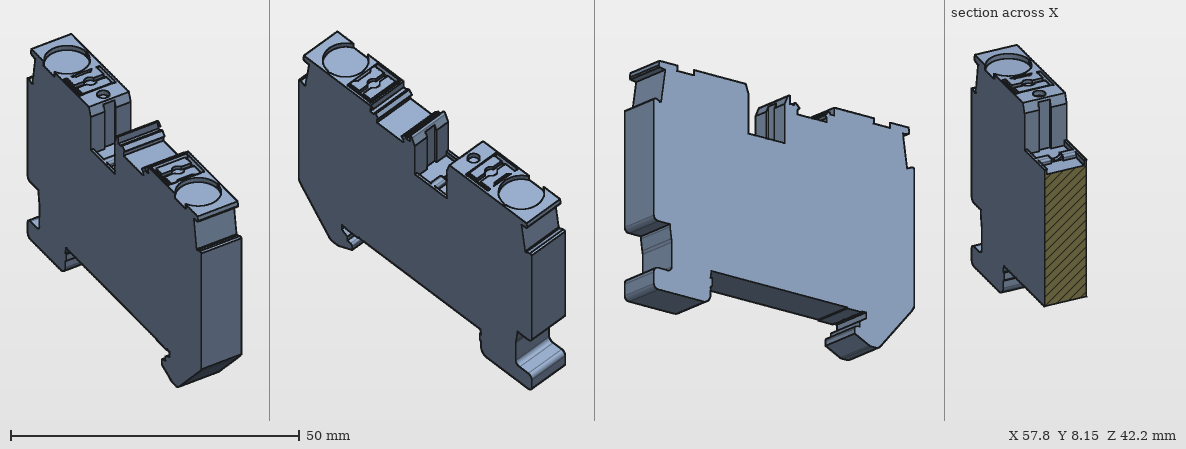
import cadquery as cq
import math


length = 57.8
thickness = 8.15
height = 42.2
middle_x = length / 2

lip_x = 1.1
lip_top_x = 1.3
lip_edge_z = 41.3
lip_bottom_z = 41.0
neck_top_x = 2.55
neck_top_z = 40.8
neck_bottom_x = 1.6
neck_bottom_z = 34.75
shoulder_groove_x = 1.45
shoulder_groove_z = 34.6
shoulder_ridge_x = 0.45
shoulder_z = 35.1
shoulder_outer_z = 34.9

body_bottom_z = 12.6
corner_radius = 0.9
waist_top_x = 3.6
waist_slope_z = 12.2
waist_bend_x = 3.9
waist_bend_z = 10.05
waist_x = 4.0
waist_z = 9.4
toe_top_z = 4.0
heel_x = 12.6
heel_radius = 1.6
catch_x = 12.95
catch_bottom_z = 2.95
catch_top_z = 4.75
catch_bevel = 0.35

seat_x = 12.8
seat_z = 6.0
pad_left_x = 42.95
pad_right_x = 46.2
pad_height = 0.2
hook_root_x = 47.1
hook_root_z = 4.9
hook_step_x = 45.7
hook_step_top_z = 4.1
hook_step_bottom_z = 3.1
hook_tip_x = 44.55
hook_tip_top_z = 2.95
hook_tip_bottom_z = 1.55
hook_tip_radius = 0.5
hook_bottom_left_x = 48.0
hook_bottom_right_x = 49.9
hook_bottom_radius = 1.15
hook_slope_x = 57.15
hook_slope_z = 8.45
right_wall_z = 9.35

notch_left_x = 21.05
notch_right_x = 29.0
notch_z = 33.2
notch_bevel_left_x = 20.4
notch_bevel_z = 40.4
notch_middle_x = (notch_left_x + notch_right_x) / 2

marker_middle_x = 35.15
marker_half_width = 4.9
marker_ledge_z = 40.7
bead_outer_half = 4.05
bead_crest_outer_half = 3.9
bead_crest_inner_half = 3.6
bead_z = 41.1
jaw_half = 2.85
jaw_top_z = 40.35
jaw_bottom_z = 39.9
marker_floor_half = 3.25
marker_floor_z = 39.15
tower_tip_x = 29.8
tower_tip_radius = 0.4
tower_right_x = marker_middle_x - marker_half_width

barb_depth = 0.2
barb_reach = 0.7
barb_drop = 0.6
barb_height = 0.3

screw_x = 7.1
screw_y = 3.7
screw_diameter = 8.0
window_width = 3.6
groove_width = 0.5
groove_height = 0.7
groove_depth = 0.1
recess_depth = 1.0
hole_diameter = 2.2
test_hole_x = 18.65
middle_y = 4.0

button_outer_x = 11.5
button_inner_x = 16.7
button_front_y = 1.0
button_rear_y = 7.0
moat_front_y = 0.35
moat_rear_y = 7.65
moat_depth = 0.6
moat_floor_width = 0.2
moat_end_width = 0.2
sloped_end_width = 0.65
button_hole_x = 14.35
button_slot_width = 0.9
button_slot_depth = 0.7
right_button_drop = 0.1
ramp_length = 0.5
ramp_depth = 0.6
ramp_wide = 4.15
ramp_narrow = 2.9

bridge_front_y = 0.5
bridge_rear_y = 7.65
bridge_depth = 1.0
bridge_z = notch_z - bridge_depth
web_width = 0.8
post_rounding = 0.4
channel_width = 2.25
channel_depth = 0.45
valley_depth = 0.8


def mirrored(points, about_x):
    """The points reflected across a vertical line, in reverse order."""
    return [(2 * about_x - point[0], *point[1:]) for point in reversed(points)]


def closed_outline(workplane, points):
    """Closed wire through points (x, z) or (x, z, radius), rounding the corners that have a radius."""
    first = points[0]
    wire = workplane.moveTo(first[0], first[1])
    for index in range(1, len(points)):
        corner = points[index]
        if len(corner) == 2:
            wire = wire.lineTo(*corner)
            continue
        x, z, radius = corner
        before = points[index - 1]
        after = points[(index + 1) % len(points)]
        angle_in = math.atan2(before[1] - z, before[0] - x)
        angle_out = math.atan2(after[1] - z, after[0] - x)
        half_turn = math.remainder(angle_out - angle_in, 2 * math.pi) / 2
        half_angle = abs(half_turn)
        bisector = angle_in + half_turn
        tangent = radius / math.tan(half_angle)
        arc_middle = radius / math.sin(half_angle) - radius
        wire = wire.lineTo(x + tangent * math.cos(angle_in), z + tangent * math.sin(angle_in))
        wire = wire.threePointArc(
            (x + arc_middle * math.cos(bisector), z + arc_middle * math.sin(bisector)),
            (x + tangent * math.cos(angle_out), z + tangent * math.sin(angle_out)),
        )
    return wire.close()


def plate(points, front_y, rear_y):
    """An X-Z outline extruded from front_y back to rear_y."""
    workplane = cq.Workplane("XZ", origin=(0, front_y, 0))
    return closed_outline(workplane, points).extrude(front_y - rear_y)


def block(x_range, y_range, z_range):
    """A box given by its lower and upper limit along each axis."""
    low, high = zip(x_range, y_range, z_range)
    size = [upper - lower for lower, upper in zip(low, high)]
    return cq.Workplane("XY").box(*size, centered=False).translate(low)


def round_recess(x, y, diameter, depth, top_z):
    return cq.Workplane("XY", origin=(x, y, top_z)).circle(diameter / 2).extrude(-depth)


def body():
    end_wall = [
        (0, shoulder_outer_z),
        (shoulder_ridge_x, shoulder_z),
        (shoulder_groove_x, shoulder_groove_z),
        (neck_bottom_x, neck_bottom_z),
        (neck_top_x, neck_top_z),
        (lip_top_x, lip_bottom_z),
        (lip_x, lip_edge_z),
        (lip_top_x, height),
    ]
    notch = [
        (notch_bevel_left_x, height),
        (notch_left_x, notch_bevel_z),
        (notch_left_x, notch_z),
        (notch_right_x, notch_z),
        (notch_right_x, notch_bevel_z),
    ]
    tower_tip = [
        (tower_tip_x, height, tower_tip_radius),
        (tower_right_x, height),
    ]
    marker_left = [
        (tower_right_x, marker_ledge_z),
        (marker_middle_x - bead_outer_half, marker_ledge_z),
        (marker_middle_x - bead_crest_outer_half, bead_z),
        (marker_middle_x - bead_crest_inner_half, bead_z),
        (marker_middle_x - jaw_half, jaw_top_z),
        (marker_middle_x - marker_floor_half, jaw_bottom_z),
        (marker_middle_x - marker_floor_half, marker_floor_z),
    ]
    marker_seat = marker_left + mirrored(marker_left, marker_middle_x)
    marker_end = [(marker_middle_x + marker_half_width, height)]
    hook = [
        (length, right_wall_z),
        (hook_slope_x, hook_slope_z),
        (hook_bottom_right_x, 0, hook_bottom_radius),
        (hook_bottom_left_x, 0, hook_bottom_radius),
        (hook_tip_x, hook_tip_bottom_z),
        (hook_tip_x, hook_tip_top_z, hook_tip_radius),
        (hook_step_x, hook_step_bottom_z),
        (hook_step_x, hook_step_top_z),
        (hook_root_x, hook_root_z),
        (hook_root_x, seat_z),
    ]
    rail_seat = [
        (pad_right_x, seat_z),
        (pad_right_x, seat_z - pad_height),
        (pad_left_x, seat_z - pad_height),
        (pad_left_x, seat_z),
        (seat_x, seat_z),
    ]
    foot = [
        (heel_x, catch_top_z + catch_bevel),
        (heel_x, catch_top_z),
        (catch_x, catch_top_z),
        (catch_x, catch_bottom_z + catch_bevel),
        (heel_x, catch_bottom_z),
        (heel_x, 0, heel_radius),
        (0, 0, corner_radius),
        (0, toe_top_z, corner_radius),
        (waist_x, toe_top_z, corner_radius),
        (waist_x, waist_z),
        (waist_bend_x, waist_bend_z),
        (waist_top_x, waist_slope_z),
        (waist_top_x, body_bottom_z),
        (0, body_bottom_z, corner_radius),
    ]
    top = end_wall + notch + tower_tip + marker_seat + marker_end
    points = top + mirrored(end_wall, middle_x) + hook + rail_seat + foot
    return plate(points, 0, thickness)


def rear_barbs():
    left = [
        (tower_right_x, height),
        (tower_right_x + barb_reach, height - barb_drop),
        (tower_right_x, height - barb_drop - barb_height),
    ]
    front_y = thickness - barb_depth
    barbs = plate(left, front_y, thickness)
    return barbs.union(plate(mirrored(left, marker_middle_x), front_y, thickness))


def screw_recess(x):
    """Round recess that opens through the front side, with a shallow groove in its rear wall."""
    window_x = (x - window_width / 2, x + window_width / 2)
    groove_x = (x - groove_width / 2, x + groove_width / 2)
    rear_y = screw_y + screw_diameter / 2
    window = block(window_x, (0, screw_y), (height - recess_depth, height))
    groove = block(groove_x, (screw_y, rear_y + groove_depth), (height - groove_height, height))
    recess = round_recess(x, screw_y, screw_diameter, recess_depth, height)
    return recess.union(window).union(groove)


def moat_strip(outer_y, button_y, floor_z):
    """Moat along one long side of a left button, its outer wall sloping down to a narrow floor."""
    toward_button = math.copysign(1, button_y - outer_y)
    floor_y = button_y - toward_button * moat_floor_width
    section = [(outer_y, height), (floor_y, floor_z), (button_y, floor_z), (button_y, height)]
    workplane = cq.Workplane("YZ", origin=(button_outer_x, 0, 0))
    return workplane.polyline(section).close().extrude(button_inner_x + moat_end_width - button_outer_x)


def ramp_prism(bottom_z):
    """Trapezoidal prism over the ramp at the outer end of a left button, up to the top face."""
    inner_x = button_outer_x + ramp_length
    footprint = [
        (button_outer_x, middle_y - ramp_wide / 2),
        (inner_x, middle_y - ramp_narrow / 2),
        (inner_x, middle_y + ramp_narrow / 2),
        (button_outer_x, middle_y + ramp_wide / 2),
    ]
    workplane = cq.Workplane("XY", origin=(0, 0, bottom_z))
    return workplane.polyline(footprint).close().extrude(height - bottom_z)


def button_cut(drop):
    """Everything removed around and in a left button whose top lies `drop` below the top face."""
    button_z = height - drop
    moat_z = button_z - moat_depth
    slot_z = button_z - button_slot_depth
    ramp_z = button_z - ramp_depth
    moat_end_x = button_inner_x + moat_end_width
    ramp_inner_x = button_outer_x + ramp_length
    button_y = (button_front_y, button_rear_y)

    end_moat = block((button_inner_x, moat_end_x), (moat_front_y, moat_rear_y), (moat_z, height))
    slot_x = (button_hole_x - button_slot_width / 2, button_hole_x + button_slot_width / 2)
    slot = block(slot_x, button_y, (slot_z, height))
    hole = round_recess(button_hole_x, middle_y, hole_diameter, height - slot_z, height)
    slope = [(button_outer_x, height), (ramp_inner_x, height), (ramp_inner_x, ramp_z)]
    ramp = ramp_prism(ramp_z).intersect(plate(slope, 0, thickness))
    cut = (
        end_moat.union(moat_strip(moat_front_y, button_front_y, moat_z))
        .union(moat_strip(moat_rear_y, button_rear_y, moat_z))
        .union(slot)
        .union(hole)
        .union(ramp)
    )
    if drop > 0:
        sunken_top = block((button_outer_x, button_inner_x), button_y, (button_z, height))
        cut = cut.union(sunken_top.cut(ramp_prism(ramp_z)))
    return cut


def right_button_cut():
    """Mirror image of a sunken left button's cut, with a sloping wall at the inner moat end."""
    button_x = length - button_inner_x
    moat_z = height - right_button_drop - moat_depth
    slope = [
        (button_x - sloped_end_width, height),
        (button_x - moat_floor_width, moat_z),
        (button_x, moat_z),
        (button_x, height),
    ]
    cut = button_cut(right_button_drop).mirror("YZ", (middle_x, 0, 0))
    return cut.union(plate(slope, moat_front_y, moat_rear_y))


def bridge_recess():
    """Recess in the notch floor, split by a web with a rounded valley between two rounded posts."""
    recess = block(
        (notch_left_x, notch_right_x), (bridge_front_y, bridge_rear_y), (bridge_z, notch_z)
    )
    web_left_x = notch_middle_x - web_width / 2
    web_right_x = notch_middle_x + web_width / 2
    post = [
        (web_left_x - post_rounding, bridge_z),
        (web_left_x - post_rounding, notch_z, post_rounding),
        (web_right_x + post_rounding, notch_z, post_rounding),
        (web_right_x + post_rounding, bridge_z),
    ]
    channel_front_y = middle_y - channel_width / 2
    channel_rear_y = middle_y + channel_width / 2
    web = block((web_left_x, web_right_x), (channel_front_y, channel_rear_y), (bridge_z, notch_z))
    valley = (
        cq.Workplane("YZ", origin=(web_left_x, 0, 0))
        .moveTo(channel_front_y, notch_z)
        .threePointArc((middle_y, notch_z - valley_depth), (channel_rear_y, notch_z))
        .close()
        .extrude(web_width)
    )
    return (
        recess.cut(plate(post, bridge_front_y, channel_front_y))
        .cut(plate(post, channel_rear_y, bridge_rear_y))
        .cut(web.cut(valley))
    )


def wall_channels():
    """Vertical channel in the middle of either wall of the notch."""
    channel_y = (middle_y - channel_width / 2, middle_y + channel_width / 2)
    z_range = (bridge_z, height)
    left = block((notch_left_x - channel_depth, notch_left_x), channel_y, z_range)
    right = block((notch_right_x, notch_right_x + channel_depth), channel_y, z_range)
    return left.union(right)


result = body().union(rear_barbs())
for recess_x in (screw_x, length - screw_x):
    result = result.cut(screw_recess(recess_x))
result = (
    result.cut(round_recess(test_hole_x, middle_y, hole_diameter, recess_depth, height))
    .cut(button_cut(drop=0))
    .cut(right_button_cut())
    .cut(bridge_recess())
    .cut(wall_channels())
)